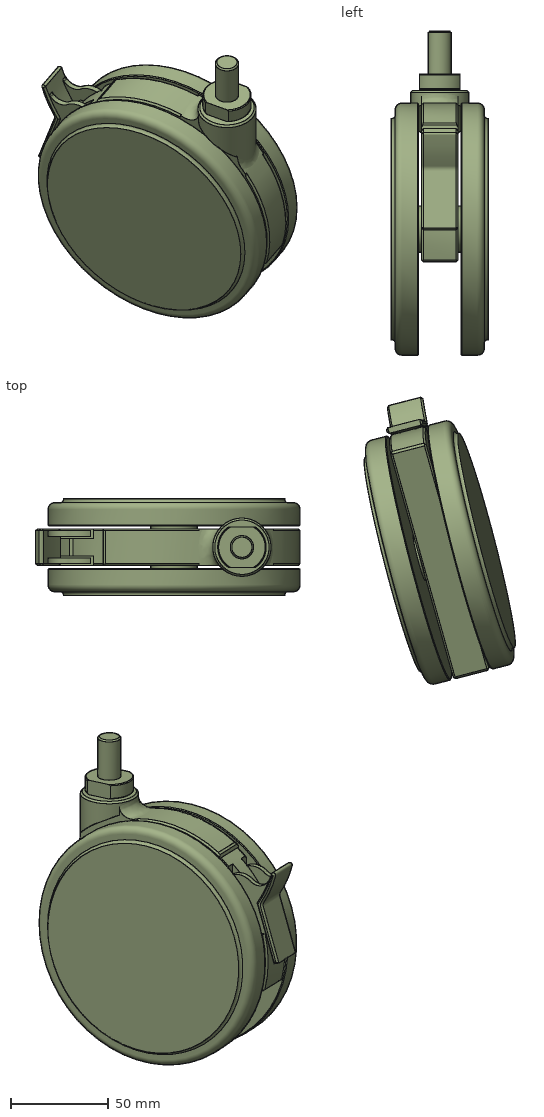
import cadquery as cq
import math


wheel_radius = 65.0
wheel_inner_y = 11.0
wheel_face_y = 23.0
wheel_outer_y = 25.0
tread_fillet = 3.5
tread_inner_chamfer = 0.5
cap_radius = 57.1
cap_flare_radius = 57.4
cap_flare_y = 23.7
cap_foot_radius = 58.4

housing_half_width = 9.5
housing_bottom_z = -16.8
housing_edge_chamfer = 1.0
hub_radius = 12.0

post_x = 35.0
post_radius = 15.0
post_top_z = 71.5
post_edge_chamfer = 1.0
post_fillet = 6.0
wheel_clearance_radius = wheel_radius + 3.0

recess_radius = wheel_radius - 1.5
recess_edge = (-35.2, 54.6)
recess_shoulder = (-36.3, 53.7)
recess_foot = (-36.7, 51.9)
recess_ledge_z = 36.3
pocket_floor_z = 15.0
slot_end_x = -41.4
tongue_half_width = 4.4

stem_radius = 6.0
stem_top_z = 102.0
stem_chamfer = 0.8
collar_radius = 12.5
collar_bottom_z = 72.0
collar_top_z = 80.0
collar_chamfer = 0.5
collar_flat_width = 21.0
neck_radius = 8.0

pedal_half_width = housing_half_width
pedal_edge_chamfer = 1.0
pedal_bend_fillet = 3.0
pedal_tip_fillet = 1.2
pedal_bottom_outer = (-71.42, 0.6)
pedal_bottom_inner = (-68.5, -0.4)
pedal_bend_outer = (-61.7, 31.3)
pedal_bend_inner = (-58.4, 31.3)
pedal_top_outer = (-70.0, 50.6)
pedal_top_inner = (-67.2, 49.6)
pedal_curve_outer = (-66.5, 40.0)
pedal_curve_inner = (-63.7, 41.0)

ear_inner_y = 5.6
ear_outer_y = 8.5
ear_end_x = -43.0
ear_end_top_z = 43.6
ear_foot_x = -63.5
ear_root = (-65.0, 44.6)
ear_dip = (-59.4, 41.0)
ear_inflection = (-54.8, 42.2)
ear_crest = (-48.0, 44.8)


def slab(width_half):
    """Workplane in XZ from which a symmetric extrusion of the given half width starts."""
    return cq.Workplane("XZ", origin=(0, width_half, 0))


def y_disc(radius, half_width):
    return slab(half_width).circle(radius).extrude(2 * half_width)


def block(x_min, x_max, y_min, y_max, z_min, z_max):
    size = (x_max - x_min, y_max - y_min, z_max - z_min)
    return cq.Workplane("XY").box(*size, centered=False).translate((x_min, y_min, z_min))


def make_wheel(side):
    """Solid of revolution about Y; side is +1 or -1."""
    arc_shift = tread_fillet * (1 - math.sqrt(0.5))
    profile = (
        cq.Workplane("XY")
        .moveTo(0, side * wheel_inner_y)
        .lineTo(wheel_radius - tread_inner_chamfer, side * wheel_inner_y)
        .lineTo(wheel_radius, side * (wheel_inner_y + tread_inner_chamfer))
        .lineTo(wheel_radius, side * (wheel_face_y - tread_fillet))
        .threePointArc(
            (wheel_radius - arc_shift, side * (wheel_face_y - arc_shift)),
            (wheel_radius - tread_fillet, side * wheel_face_y),
        )
        .lineTo(cap_foot_radius, side * wheel_face_y)
        .threePointArc((cap_flare_radius, side * cap_flare_y), (cap_radius, side * wheel_outer_y))
        .lineTo(0, side * wheel_outer_y)
        .close()
    )
    return profile.revolve(360, (0, 0, 0), (0, 1, 0))


def chamfered_drum(radius):
    return y_disc(radius, housing_half_width).edges().chamfer(housing_edge_chamfer)


def make_post():
    post = cq.Workplane("XY").center(post_x, 0).circle(post_radius).extrude(post_top_z)
    return post.faces(">Z").chamfer(post_edge_chamfer)


def make_edge_cut(side):
    """Ring that chamfers one round edge of the housing, left out around the post blend."""
    reach = 2 * housing_edge_chamfer
    ring = (
        cq.Workplane("XY")
        .polyline([
            (wheel_radius - reach, side * (housing_half_width + housing_edge_chamfer)),
            (wheel_radius + housing_edge_chamfer, side * (housing_half_width - reach)),
            (wheel_radius + housing_edge_chamfer, side * (housing_half_width + housing_edge_chamfer)),
        ])
        .close()
        .revolve(360, (0, 0, 0), (0, 1, 0))
    )
    blend_reach = wheel_radius / (wheel_radius + post_fillet)
    blend_start_x = (post_x - post_radius - post_fillet) * blend_reach
    blend_end_x = (post_x + post_radius + post_fillet) * blend_reach
    blend_zone = block(blend_start_x, blend_end_x, -wheel_inner_y, wheel_inner_y, 0, post_top_z)
    return ring.cut(blend_zone)


def make_body():
    """Drum between the wheels with the swivel post blended into its round back."""
    post = make_post()
    wide_half_width = post_radius + 2 * post_fillet
    joined = y_disc(wheel_radius, wide_half_width).union(post)
    seam_box = cq.selectors.BoxSelector(
        (post_x - post_radius - 1, -post_radius - 1, 1),
        (post_x + post_radius + 1, post_radius + 1, wheel_radius + 1),
        boundingbox=True,
    )
    blended = joined.edges(seam_box).fillet(post_fillet)
    size = 4 * wheel_radius
    between_wheels = block(-size, size, -housing_half_width, housing_half_width, housing_bottom_z, size)
    body = blended.intersect(between_wheels)
    body = body.faces("<Z").edges().chamfer(housing_edge_chamfer)
    for side in (-1, 1):
        body = body.cut(make_edge_cut(side))
    overhangs = post.cut(y_disc(wheel_clearance_radius, wide_half_width)).cut(between_wheels)
    return body.union(overhangs)


def make_lever_cut():
    """Shallow recess on the housing back, with the deeper pocket around the tongue."""
    far_x = -1.5 * wheel_radius
    far_z = 1.5 * wheel_radius
    recess = (
        slab(wheel_inner_y)
        .polyline([
            (recess_edge[0], far_z),
            recess_edge,
            recess_shoulder,
            recess_foot,
            (recess_foot[0], recess_ledge_z),
            (far_x, recess_ledge_z),
            (far_x, far_z),
        ])
        .close()
        .extrude(2 * wheel_inner_y)
        .cut(chamfered_drum(recess_radius))
    )
    pocket = block(far_x, slot_end_x, -wheel_inner_y, wheel_inner_y, pocket_floor_z, far_z)
    tongue = block(far_x, slot_end_x, -tongue_half_width, tongue_half_width, pocket_floor_z, far_z)
    return recess.union(pocket.cut(tongue))


def make_housing():
    hub = y_disc(hub_radius, wheel_inner_y)
    return make_body().cut(make_lever_cut()).union(hub)


def make_stem():
    turned = (
        cq.Workplane("XZ")
        .polyline([
            (0, post_top_z),
            (neck_radius, post_top_z),
            (neck_radius, collar_bottom_z),
            (collar_radius - collar_chamfer, collar_bottom_z),
            (collar_radius, collar_bottom_z + collar_chamfer),
            (collar_radius, collar_top_z - collar_chamfer),
            (collar_radius - collar_chamfer, collar_top_z),
            (stem_radius, collar_top_z),
            (stem_radius, stem_top_z - stem_chamfer),
            (stem_radius - stem_chamfer, stem_top_z),
            (0, stem_top_z),
        ])
        .close()
        .revolve(360, (0, 0, 0), (0, 1, 0))
    )
    flats = cq.Workplane("XY").box(2 * collar_radius, collar_flat_width, 2 * stem_top_z)
    return turned.intersect(flats).translate((post_x, 0, 0))


def make_lever():
    pedal = (
        slab(pedal_half_width)
        .moveTo(*pedal_bottom_outer)
        .lineTo(*pedal_bend_outer)
        .threePointArc(pedal_curve_outer, pedal_top_outer)
        .lineTo(*pedal_top_inner)
        .threePointArc(pedal_curve_inner, pedal_bend_inner)
        .lineTo(*pedal_bottom_inner)
        .close()
        .extrude(2 * pedal_half_width)
    )
    pedal = pedal.edges(cq.NearestToPointSelector((pedal_bend_outer[0], 0, pedal_bend_outer[1])))
    pedal = pedal.fillet(pedal_bend_fillet)
    pedal = pedal.edges(cq.NearestToPointSelector((pedal_top_outer[0], 0, pedal_top_outer[1])))
    pedal = pedal.fillet(pedal_tip_fillet)
    lever = pedal.faces("<Y or >Y").edges().chamfer(pedal_edge_chamfer)
    for ear_start_y in (-ear_outer_y, ear_inner_y):
        ear = (
            cq.Workplane("XZ", origin=(0, ear_start_y, 0))
            .moveTo(*pedal_bend_outer)
            .lineTo(*ear_root)
            .threePointArc(ear_dip, ear_inflection)
            .threePointArc(ear_crest, (ear_end_x, ear_end_top_z))
            .lineTo(ear_end_x, pocket_floor_z)
            .lineTo(ear_foot_x, pocket_floor_z)
            .close()
            .extrude(ear_inner_y - ear_outer_y)
        )
        lever = lever.union(ear)
    return lever


wheels = [make_wheel(side) for side in (-1, 1)]
housing = make_housing()
stem = make_stem()
lever = make_lever()

result = cq.Compound.makeCompound(
    [*[wheel.val() for wheel in wheels], *housing.solids().vals(), *stem.solids().vals(), *lever.solids().vals()]
)